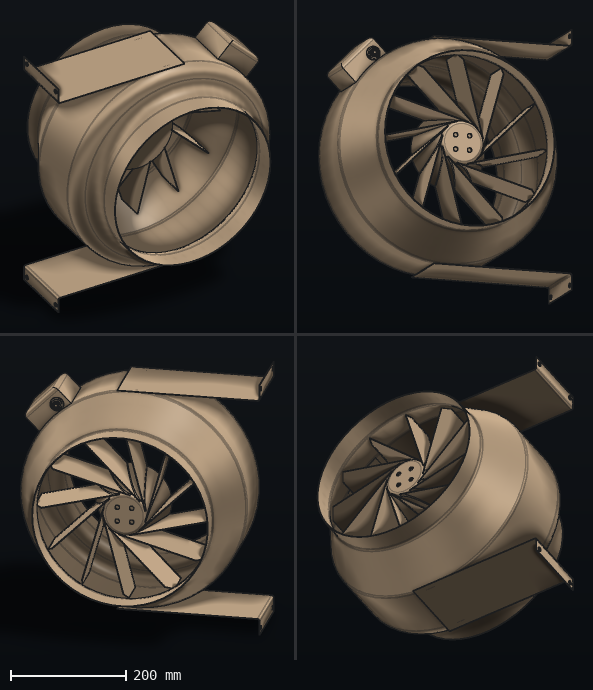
import cadquery as cq
import math

DUCT_LENGTH = 305.0
TUBE_RADIUS = 156.5
BELLY_RADIUS = 201.5
WALL = 1.5

FRONT_TUBE_LENGTH = 36.0
CONE_ANGLE = 30.0
CONE_BEND_RADIUS = 10.0
BELLY_LENGTH = 98.0
SHOULDER_RADIUS = 25.0

IMPELLER_START = 37.0
IMPELLER_LENGTH = 80.0
HUB_NOSE_RADIUS = 39.0
HUB_NOSE_ROUND = 5.5
HUB_REAR_RADIUS = 68.0
HUB_HOLE_DIAMETER = 8.0
HUB_HOLE_SPACING = 25.5
HUB_HOLE_DEPTH = 3.0

VANE_COUNT = 12
VANE_THICKNESS = 1.5
VANE_FRONT_RADIUS = 147.5
VANE_TIP_RADIUS = 163.5
VANE_SLANT_LENGTH = 26.0
VANE_LEAN = 14.4

BRACKET_WIDTH = 120.0
BRACKET_THICKNESS = 1.5
BRACKET_BEND_RADIUS = 3.0
BRACKET_BACK = 28.0
BRACKET_FRONT = -225.5
FLANGE_TIP = 231.5
FLANGE_HOLE_DIAMETER = 8.0
FLANGE_HOLE_SPACING = 100.0
FLANGE_HOLE_TO_TIP = 10.0

BOX_SIZE = 80.0
BOX_TOP = 238.5
BOX_EDGE_RADIUS = 8.0
BOX_TILT = -45.0
GLAND_HEIGHT = 213.5
GLAND_OFFSET = -20.4
GLAND_STEPS = ((12.0, 3.5), (9.5, 1.5), (7.0, 1.5), (5.0, 1.5), (3.0, 3.0))

RADIUS_STEP = BELLY_RADIUS - TUBE_RADIUS
CONE_RAD = math.radians(CONE_ANGLE)
CONE_SLANT = (RADIUS_STEP - 2 * CONE_BEND_RADIUS * (1 - math.cos(CONE_RAD))) / math.sin(CONE_RAD)
BELLY_START = (FRONT_TUBE_LENGTH + 2 * CONE_BEND_RADIUS * math.sin(CONE_RAD)
               + CONE_SLANT * math.cos(CONE_RAD))
BELLY_END = BELLY_START + BELLY_LENGTH
BELLY_MIDDLE = (BELLY_START + BELLY_END) / 2
SHOULDER_SWEEP = math.acos(1 - RADIUS_STEP / (2 * SHOULDER_RADIUS))
NECK_START = BELLY_END + 2 * SHOULDER_RADIUS * math.sin(SHOULDER_SWEEP)


def arc_point(center, radius, angle):
    """Point on an arc; the angle is measured from straight outward towards +X."""
    return (center[0] + radius * math.sin(angle), center[1] + radius * math.cos(angle))


def revolve_about_x(outline):
    return outline.close().revolve(360, (0, 0, 0), (1, 0, 0))


def duct_envelope(inset):
    """Solid of revolution inside the duct's outer skin, moved inward by inset."""
    tube = TUBE_RADIUS - inset
    belly = BELLY_RADIUS - inset
    flare = (FRONT_TUBE_LENGTH, TUBE_RADIUS + CONE_BEND_RADIUS)
    flare_radius = CONE_BEND_RADIUS + inset
    crest = (BELLY_START, BELLY_RADIUS - CONE_BEND_RADIUS)
    crest_radius = CONE_BEND_RADIUS - inset
    shoulder = (BELLY_END, BELLY_RADIUS - SHOULDER_RADIUS)
    shoulder_radius = SHOULDER_RADIUS - inset
    neck = (NECK_START, TUBE_RADIUS + SHOULDER_RADIUS)
    neck_radius = SHOULDER_RADIUS + inset
    outline = (
        cq.Workplane("XY")
        .moveTo(0, 0)
        .lineTo(0, tube)
        .lineTo(FRONT_TUBE_LENGTH, tube)
        .threePointArc(
            arc_point(flare, -flare_radius, -CONE_RAD / 2),
            arc_point(flare, -flare_radius, -CONE_RAD),
        )
        .lineTo(*arc_point(crest, crest_radius, -CONE_RAD))
        .threePointArc(arc_point(crest, crest_radius, -CONE_RAD / 2), (BELLY_START, belly))
        .lineTo(BELLY_END, belly)
        .threePointArc(
            arc_point(shoulder, shoulder_radius, SHOULDER_SWEEP / 2),
            arc_point(shoulder, shoulder_radius, SHOULDER_SWEEP),
        )
        .threePointArc(arc_point(neck, -neck_radius, SHOULDER_SWEEP / 2), (NECK_START, tube))
        .lineTo(DUCT_LENGTH, tube)
        .lineTo(DUCT_LENGTH, 0)
    )
    return revolve_about_x(outline)


def make_hub():
    rear = IMPELLER_START + IMPELLER_LENGTH
    nose_end = IMPELLER_START + HUB_NOSE_ROUND
    face_radius = HUB_NOSE_RADIUS - HUB_NOSE_ROUND
    outline = (
        cq.Workplane("XY")
        .moveTo(IMPELLER_START, 0)
        .lineTo(IMPELLER_START, face_radius)
        .threePointArc(
            arc_point((nose_end, face_radius), HUB_NOSE_ROUND, -math.pi / 4),
            (nose_end, HUB_NOSE_RADIUS),
        )
        .lineTo(rear, HUB_REAR_RADIUS)
        .lineTo(rear, 0)
    )
    holes = (
        cq.Workplane("YZ", origin=(IMPELLER_START, 0, 0))
        .rect(HUB_HOLE_SPACING, HUB_HOLE_SPACING, forConstruction=True)
        .vertices()
        .circle(HUB_HOLE_DIAMETER / 2)
        .extrude(HUB_HOLE_DEPTH)
    )
    return revolve_about_x(outline).cut(holes)


def make_vane():
    """Flat vane standing up from the point where it touches the hub nose circle."""
    front_height = math.sqrt(VANE_FRONT_RADIUS**2 - HUB_NOSE_RADIUS**2)
    tip_height = math.sqrt(VANE_TIP_RADIUS**2 - HUB_NOSE_RADIUS**2)
    vane = (
        cq.Workplane("XZ", origin=(IMPELLER_START, -HUB_NOSE_RADIUS, 0))
        .moveTo(0, 0)
        .lineTo(0, front_height)
        .lineTo(VANE_SLANT_LENGTH, tip_height)
        .lineTo(IMPELLER_LENGTH, tip_height)
        .lineTo(IMPELLER_LENGTH, 0)
        .close()
        .extrude(-VANE_THICKNESS)
    )
    return vane.rotate((0, 0, 0), (1, 0, 0), -VANE_LEAN)


def make_impeller():
    impeller = make_hub()
    vane = make_vane()
    for index in range(VANE_COUNT):
        impeller = impeller.union(vane.rotate((0, 0, 0), (1, 0, 0), index * 360 / VANE_COUNT))
    return impeller


def make_terminal_box():
    """Terminal box on the belly, with a stepped cable gland on its -X face."""
    box = (
        cq.Workplane("XY", origin=(BELLY_START, 0, 0))
        .box(BOX_SIZE, BOX_SIZE, BOX_TOP, centered=(False, True, False))
        .faces(">Z")
        .edges()
        .fillet(BOX_EDGE_RADIUS)
    )
    gland_end = BELLY_START
    for radius, length in GLAND_STEPS:
        step = (
            cq.Workplane("YZ", origin=(gland_end, GLAND_OFFSET, GLAND_HEIGHT))
            .circle(radius)
            .extrude(-length)
        )
        box = box.union(step)
        gland_end -= length
    return box.rotate((0, 0, 0), (1, 0, 0), BOX_TILT)


def make_housing():
    """Thin duct with the terminal box formed on its belly."""
    return duct_envelope(0).union(make_terminal_box()).cut(duct_envelope(WALL))


def make_bracket():
    """Upper L-shaped bracket: a plate resting on the belly with a flange turned up at its -Y end."""
    bottom = BELLY_RADIUS
    top = bottom + BRACKET_THICKNESS
    flange_back = BRACKET_FRONT + BRACKET_THICKNESS
    bend_radius = BRACKET_BEND_RADIUS + BRACKET_THICKNESS
    bend = (BRACKET_FRONT + bend_radius, bottom + bend_radius)
    bend_middle = -3 * math.pi / 4
    plate = (
        cq.Workplane("YZ", origin=(BELLY_MIDDLE - BRACKET_WIDTH / 2, 0, 0))
        .moveTo(BRACKET_BACK, bottom)
        .lineTo(bend[0], bottom)
        .threePointArc(arc_point(bend, bend_radius, bend_middle), (BRACKET_FRONT, bend[1]))
        .lineTo(BRACKET_FRONT, FLANGE_TIP)
        .lineTo(flange_back, FLANGE_TIP)
        .lineTo(flange_back, bend[1])
        .threePointArc(arc_point(bend, BRACKET_BEND_RADIUS, bend_middle), (bend[0], top))
        .lineTo(BRACKET_BACK, top)
        .close()
        .extrude(BRACKET_WIDTH)
    )
    holes = (
        cq.Workplane("XZ", origin=(BELLY_MIDDLE, BRACKET_FRONT, FLANGE_TIP - FLANGE_HOLE_TO_TIP))
        .pushPoints([(-FLANGE_HOLE_SPACING / 2, 0), (FLANGE_HOLE_SPACING / 2, 0)])
        .circle(FLANGE_HOLE_DIAMETER / 2)
        .extrude(-BRACKET_THICKNESS)
    )
    return plate.cut(holes)


housing = make_housing()
impeller = make_impeller()
top_bracket = make_bracket()
bottom_bracket = top_bracket.mirror("XY")

result = cq.Compound.makeCompound(
    [housing.val(), impeller.val(), top_bracket.val(), bottom_bracket.val()]
)